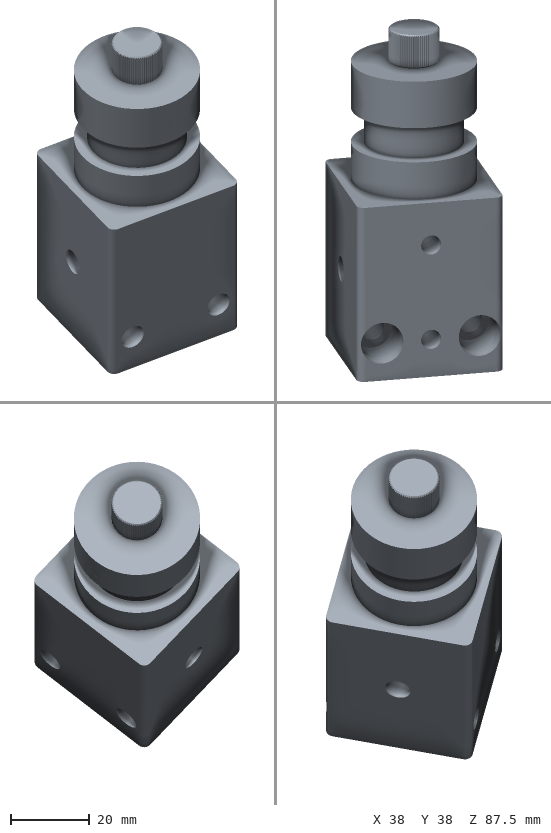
import cadquery as cq
import math

total_height = 87.5

block_side = 38.0
block_height = 46.8
block_corner_radius = 2.0
cross_hole_diameter = 6.6
cross_hole_height = 24.0

mount_spacing = 25.4
mount_height = 10.1
mount_hole_diameter = 6.6
mount_bore_diameter = 10.9
mount_bore_depth = 12.25
port_diameter = 5.2
port_depth = 8.75
port_tip_angle = 118.0
port_spacing = mount_spacing

disc_diameter = 32.0
flange_height = 9.2
washer_height = 0.8
neck_diameter = 25.4
neck_height = 9.2
cap_height = 12.5

set_screw_diameter = 3.0
set_screw_length = 5.25
set_screw_drop = 1.2

knob_diameter = 12.95
knob_chamfer = 0.4
groove_depth = 0.3
groove_count = 72

washer_base = block_height + flange_height
neck_base = washer_base + washer_height
cap_base = neck_base + neck_height
knob_base = cap_base + cap_height
knob_height = total_height - knob_base
set_screw_height = cap_base + cap_height / 2 - set_screw_drop


def disc(diameter, height, base):
    """Plain upright cylinder standing at the level `base`."""
    return cq.Workplane("XY").workplane(offset=base).circle(diameter / 2).extrude(height)


def bore_x(diameter, depth, y, z):
    """Cylinder running inward along +X from the block's -X face."""
    start = cq.Workplane("YZ", origin=(-block_side / 2, y, z))
    return start.circle(diameter / 2).extrude(depth)


def blind_port(z):
    """Drilled hole with a conical tip, entering the -X face on the centre line."""
    radius = port_diameter / 2
    tip_length = radius / math.tan(math.radians(port_tip_angle / 2))
    face_x = -block_side / 2
    profile = [
        (face_x, 0),
        (face_x, radius),
        (face_x + port_depth, radius),
        (face_x + port_depth + tip_length, 0),
    ]
    drill = cq.Workplane("XZ").polyline(profile).close().revolve(360, (0, 0), (1, 0))
    return drill.translate((0, 0, z))


def make_block():
    """Square block with rounded upright edges, a cross hole, mounting holes and ports."""
    block = cq.Workplane("XY").rect(block_side, block_side).extrude(block_height)
    block = block.edges("|Z").fillet(block_corner_radius)
    cross_hole = (
        cq.Workplane("XZ", origin=(0, 0, cross_hole_height))
        .circle(cross_hole_diameter / 2)
        .extrude(block_side / 2, both=True)
    )
    block = block.cut(cross_hole)
    for y in (-mount_spacing / 2, mount_spacing / 2):
        block = block.cut(bore_x(mount_hole_diameter, block_side, y, mount_height))
        block = block.cut(bore_x(mount_bore_diameter, mount_bore_depth, y, mount_height))
    for z in (mount_height, mount_height + port_spacing):
        block = block.cut(blind_port(z))
    return block


def make_bushing():
    """Flange on the block with a narrower neck rising from it to the cap."""
    flange = disc(disc_diameter, flange_height, block_height)
    neck = disc(neck_diameter, cap_base - washer_base, washer_base)
    return flange.union(neck)


def make_washer():
    """Flat ring around the neck, resting on the flange."""
    ring = disc(disc_diameter, washer_height, washer_base)
    return ring.cut(disc(neck_diameter, washer_height, washer_base))


def make_set_screw():
    """Radial plug whose outer end is flush with the cap's curved +X side."""
    start = cq.Workplane("YZ", origin=(disc_diameter / 2, 0, set_screw_height))
    plug = start.circle(set_screw_diameter / 2).extrude(-set_screw_length)
    return plug.intersect(disc(disc_diameter, cap_height, cap_base))


def make_cap():
    """Cap with a blind hole that the set screw fills."""
    cap = disc(disc_diameter, cap_height, cap_base)
    return cap.cut(make_set_screw())


def make_knob():
    """Chamfered cylinder with V grooves cut along its whole rim."""
    rim = knob_diameter / 2
    points = []
    for i in range(2 * groove_count):
        radius = rim - groove_depth * (i % 2)
        angle = math.pi * i / groove_count
        points.append((radius * math.cos(angle), radius * math.sin(angle)))
    outline = cq.Workplane("XY").workplane(offset=knob_base).polyline(points).close()
    toothed = outline.extrude(knob_height)
    envelope = disc(knob_diameter, knob_height, knob_base).edges().chamfer(knob_chamfer)
    return toothed.intersect(envelope)


block = make_block()
bushing = make_bushing()
washer = make_washer()
cap = make_cap()
set_screw = make_set_screw()
knob = make_knob()

result = cq.Compound.makeCompound(
    [block.val(), bushing.val(), washer.val(), cap.val(), set_screw.val(), knob.val()]
)